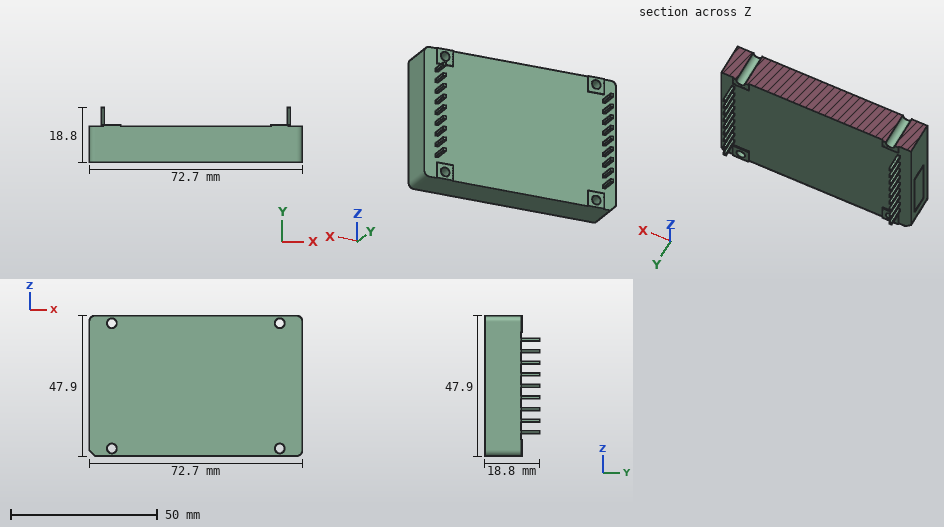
import cadquery as cq

length = 72.7
height = 47.9
total_depth = 18.75
body_depth = 12.35
corner_size = 2.0

hole_diameter = 3.3
hole_spacing_x = 57.2
hole_spacing_z = 42.7
pad_width = 6.1
pad_thickness = 0.4

pin_size = 1.0
pin_column_spacing = 63.4
pins_per_column = 9
pin_column_span = 31.55
pin_length = total_depth - body_depth

panel_depth = 7.0
panel_height = 19.5
panel_front = 2.75
panel_bottom = 6.1
panel_corner_radius = 0.65
groove_width = 0.2
groove_depth = 0.1

hole_x = hole_spacing_x / 2
hole_z = hole_spacing_z / 2
hole_centers = [(x, z) for x in (-hole_x, hole_x) for z in (-hole_z, hole_z)]


def box_between(x_range, y_range, z_range):
    """Box spanning the given (low, high) limits on each axis."""
    corner = (x_range[0], y_range[0], z_range[0])
    sizes = [high - low for low, high in (x_range, y_range, z_range)]
    return cq.Workplane("XY").box(*sizes, centered=False).translate(corner)


def make_body():
    """Block with three rounded corners and one bevelled corner at -X, -Z."""
    body = box_between((-length / 2, length / 2), (0, body_depth), (-height / 2, height / 2))
    body = body.edges("|Y and (>X or >Z)").fillet(corner_size)
    bevelled_corner = (-length / 2, body_depth / 2, -height / 2)
    return body.edges(cq.NearestToPointSelector(bevelled_corner)).chamfer(corner_size)


def make_pads():
    """Rectangular stand-off pads around the holes, flush with the +Z and -Z sides."""
    pads = cq.Workplane("XY")
    for x, z in hole_centers:
        inner_z = abs(z) - pad_width / 2
        z_range = (inner_z, height / 2) if z > 0 else (-height / 2, -inner_z)
        x_range = (x - pad_width / 2, x + pad_width / 2)
        pads = pads.add(box_between(x_range, (body_depth, body_depth + pad_thickness), z_range))
    return pads.combine()


def make_pins():
    """Two columns of square pins standing on the +Y face."""
    pins = cq.Workplane("XZ", origin=(0, body_depth, 0)).rarray(
        pin_column_spacing,
        pin_column_span / (pins_per_column - 1),
        2,
        pins_per_column,
    )
    return pins.rect(pin_size, pin_size).extrude(-pin_length)


def make_holes():
    """Cutters passing through the body and the pads."""
    holes = cq.Workplane("XZ").pushPoints(hole_centers)
    return holes.circle(hole_diameter / 2).extrude(-total_depth)


def make_panel_block(inset):
    """Rounded panel block sunk into the -X end, shrunk by inset on every side."""
    y_range = (panel_front + inset, panel_front + panel_depth - inset)
    bottom = panel_bottom - height / 2
    z_range = (bottom + inset, bottom + panel_height - inset)
    block = box_between((-length / 2, -length / 2 + groove_depth), y_range, z_range)
    return block.edges("|X").fillet(panel_corner_radius - inset)


def make_panel_groove():
    """Ring-shaped cutter outlining the label panel."""
    return make_panel_block(0).cut(make_panel_block(groove_width))


result = (
    make_body()
    .union(make_pads())
    .union(make_pins())
    .cut(make_holes())
    .cut(make_panel_groove())
)